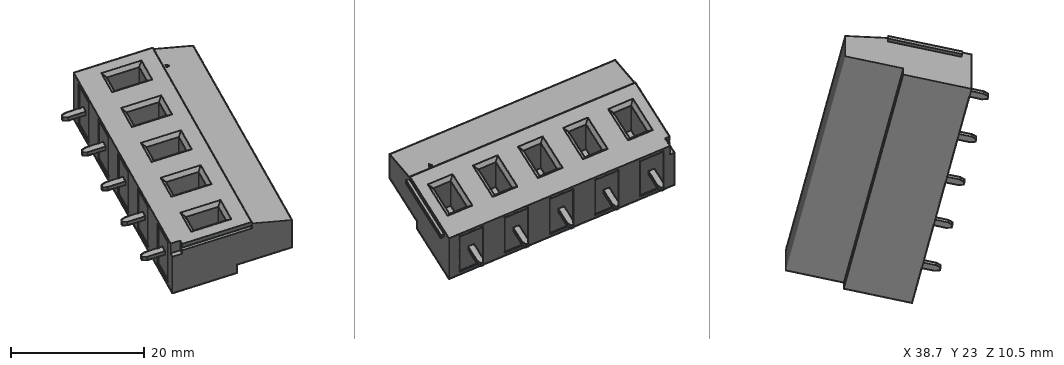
import cadquery as cq
pole_count = 5
pole_pitch = 7.62
rail_reach = 0.58
body_width = pole_count * pole_pitch
body_depth = 19.55
body_height = 10.5
pin_length = 3.45

ledge_depth = 8.98
ledge_height = 1.85
slope_depth = 6.55
slope_start_drop = 0.35
slope_end_drop = 2.45
back_edge_radius = 0.1
roof_edge_radius = 0.3

strip_thickness = 1.6
notch_width = 0.75
notch_height = 2.2

dovetail_drop = 1.15
rail_root_height = 0.55
rail_tip_height = 0.85
groove_mouth_height = 0.58
groove_floor_height = 0.93
groove_depth = 0.65

opening_width = 4.18
opening_length = 6.55
opening_back_gap = 9.2
funnel_inset = 0.6
funnel_depth = 0.6
well_depth = 6.95

panel_width = 4.0
panel_border = 0.75
panel_depth = 0.2

pin_width = 1.0
pin_thickness = 0.8
pin_drop = 4.85
pin_tip_width = 0.45
pin_taper_length = 0.75
pin_embed = 0.4

marker_width = 0.55
marker_length = 0.55
marker_back_gap = 6.08
marker_height = 0.08
marker_embed = 0.08

slope_front = body_depth - slope_depth
dovetail_length = slope_front - strip_thickness
dovetail_z = body_height - dovetail_drop
pole_centers = [(i + 0.5) * pole_pitch for i in range(pole_count)]


def make_body():
    profile = [
        (0, 0),
        (body_depth - ledge_depth, 0),
        (body_depth - ledge_depth, ledge_height),
        (body_depth, ledge_height),
        (body_depth, body_height - slope_end_drop),
        (slope_front, body_height - slope_start_drop),
        (slope_front, body_height),
        (0, body_height),
    ]
    body = cq.Workplane("YZ").polyline(profile).close().extrude(body_width)
    body = body.faces(">Y").edges("|X").fillet(back_edge_radius)
    return body.faces(">Z").edges(">Y").fillet(roof_edge_radius)


def make_dovetail(start_x, reach, start_height, end_height):
    """Prism along Y whose height changes from start_x to start_x + reach."""
    section = [
        (start_x, dovetail_z - start_height / 2),
        (start_x + reach, dovetail_z - end_height / 2),
        (start_x + reach, dovetail_z + end_height / 2),
        (start_x, dovetail_z + start_height / 2),
    ]
    plane = cq.Workplane("XZ", origin=(0, strip_thickness, 0))
    return plane.polyline(section).close().extrude(-dovetail_length)


def make_notch():
    corner = (body_width - notch_width, 0, body_height - notch_height)
    return cq.Workplane(origin=corner).box(notch_width, strip_thickness, notch_height, centered=False)


def make_opening(center_x):
    """Funnel that narrows downward into a straight blind well."""
    center_y = body_depth - opening_back_gap - opening_length / 2
    well_width = opening_width - 2 * funnel_inset
    well_length = opening_length - 2 * funnel_inset
    funnel = (
        cq.Workplane(origin=(center_x, center_y, body_height))
        .rect(opening_width, opening_length)
        .workplane(offset=-funnel_depth)
        .rect(well_width, well_length)
        .loft()
    )
    well = (
        cq.Workplane(origin=(center_x, center_y, body_height - funnel_depth))
        .rect(well_width, well_length)
        .extrude(funnel_depth - well_depth)
    )
    return funnel.union(well)


def make_panel(center_x):
    return (
        cq.Workplane("XZ", origin=(center_x, 0, body_height / 2))
        .rect(panel_width, body_height - 2 * panel_border)
        .extrude(-panel_depth)
    )


def make_pin(center_x):
    root_y = panel_depth + pin_embed
    outline = [
        (-pin_width / 2, root_y),
        (-pin_width / 2, pin_taper_length - pin_length),
        (-pin_tip_width / 2, -pin_length),
        (pin_tip_width / 2, -pin_length),
        (pin_width / 2, pin_taper_length - pin_length),
        (pin_width / 2, root_y),
    ]
    plane = cq.Workplane(origin=(center_x, 0, body_height - pin_drop))
    return plane.polyline(outline).close().extrude(pin_thickness / 2, both=True)


def make_marker(center_x):
    """Raised triangle on the roof, pointing back along the slope."""
    slope_rate = (slope_end_drop - slope_start_drop) / slope_depth
    base_y = body_depth - marker_back_gap
    base_z = body_height - slope_end_drop + slope_rate * marker_back_gap
    roof = cq.Plane(origin=(center_x, base_y, base_z), xDir=(1, 0, 0), normal=(0, slope_rate, 1))
    triangle = [(-marker_width / 2, 0), (marker_width / 2, 0), (0, marker_length)]
    return (
        cq.Workplane(roof)
        .workplane(offset=-marker_embed)
        .polyline(triangle)
        .close()
        .extrude(marker_embed + marker_height)
    )


result = make_body()
result = result.union(make_dovetail(-rail_reach, rail_reach, rail_tip_height, rail_root_height))
result = result.cut(make_notch())
groove_x = body_width - groove_depth
result = result.cut(make_dovetail(groove_x, groove_depth, groove_floor_height, groove_mouth_height))
for pole_x in pole_centers:
    result = result.cut(make_opening(pole_x))
    result = result.cut(make_panel(pole_x))
    result = result.union(make_pin(pole_x))
result = result.union(make_marker(pole_centers[0]))